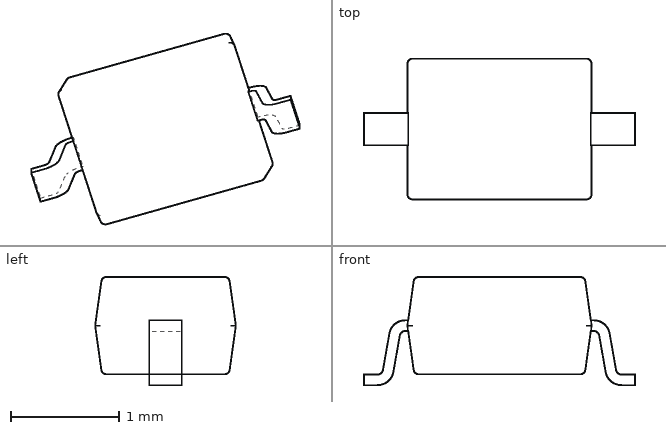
import cadquery as cq
import math

body_length = 1.7
body_width = 1.3
body_height = 0.9
overall_length = 2.5
standoff = 0.1

draft_angle = 8.0
edge_radius = 0.05
half_height = body_height / 2
parting_z = standoff + half_height

lead_thickness = 0.1
lead_width = 0.3
lead_centre_z = parting_z
foot_centre_z = lead_thickness / 2
foot_length = 0.125
bend_radius = 0.1
leg_angle = 80.0
lead_embed = 0.2


def body_half(direction):
    """Drafted half of the body, growing up (+1) or down (-1) from the parting plane."""
    half = (
        cq.Workplane("XY")
        .rect(body_length, body_width)
        .extrude(half_height, taper=draft_angle)
        .edges("not <Z")
        .fillet(edge_radius)
    )
    if direction < 0:
        half = half.mirror("XY")
    return half.translate((0, 0, parting_z))


def right_lead():
    """S-shaped strip from inside the body at +X down to its foot on the seating plane."""
    angle = math.radians(leg_angle)
    inner_radius = bend_radius - lead_thickness / 2
    outer_radius = bend_radius + lead_thickness / 2

    bend_drop = bend_radius * (1 - math.cos(angle))
    bend_run = bend_radius * math.sin(angle)
    leg_drop = lead_centre_z - foot_centre_z - 2 * bend_drop
    leg_run = leg_drop / math.tan(angle)

    tip_x = overall_length / 2
    lower_x = tip_x - foot_length
    lower_z = foot_centre_z + bend_radius
    upper_x = lower_x - 2 * bend_run - leg_run
    upper_z = lead_centre_z - bend_radius
    start_x = body_length / 2 - lead_embed

    def on_upper_bend(radius, turn):
        return (upper_x + radius * math.sin(turn), upper_z + radius * math.cos(turn))

    def on_lower_bend(radius, turn):
        return (lower_x - radius * math.sin(turn), lower_z - radius * math.cos(turn))

    profile = (
        cq.Workplane("XZ")
        .moveTo(start_x, lead_centre_z + lead_thickness / 2)
        .lineTo(*on_upper_bend(outer_radius, 0))
        .threePointArc(on_upper_bend(outer_radius, angle / 2), on_upper_bend(outer_radius, angle))
        .lineTo(*on_lower_bend(inner_radius, angle))
        .threePointArc(on_lower_bend(inner_radius, angle / 2), on_lower_bend(inner_radius, 0))
        .lineTo(tip_x, lead_thickness)
        .lineTo(tip_x, 0)
        .lineTo(*on_lower_bend(outer_radius, 0))
        .threePointArc(on_lower_bend(outer_radius, angle / 2), on_lower_bend(outer_radius, angle))
        .lineTo(*on_upper_bend(inner_radius, angle))
        .threePointArc(on_upper_bend(inner_radius, angle / 2), on_upper_bend(inner_radius, 0))
        .lineTo(start_x, lead_centre_z - lead_thickness / 2)
        .close()
    )
    return profile.extrude(lead_width / 2, both=True)


body = body_half(1).union(body_half(-1))
lead = right_lead()
result = body.union(lead).union(lead.mirror("YZ"))